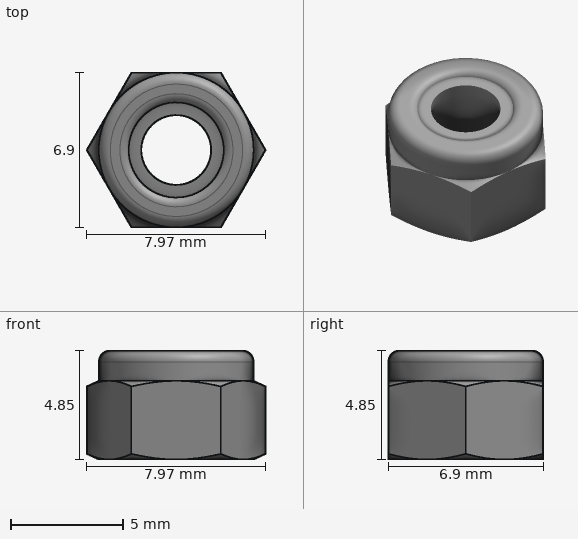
import cadquery as cq
import math

across_flats = 6.9
across_corners = across_flats / math.cos(math.radians(30))
hex_height = 3.5
chamfer_angle = 25.0

total_height = 4.85
collar_radius = across_flats / 2
lip_radius = 0.5
rim_inner_radius = 2.52

insert_recess = 0.2
insert_top = total_height - insert_recess
insert_bottom = 2.65
insert_bore_radius = 1.55
thread_bore_radius = 1.621


def hexagonal_body():
    """Hexagonal prism with its corners chamfered by cones at both ends."""
    prism = cq.Workplane("XY").polygon(6, across_corners).extrude(hex_height)
    corner_radius = across_corners / 2
    corner_drop = (corner_radius - collar_radius) * math.tan(math.radians(chamfer_angle))
    chamfer_envelope = (
        cq.Workplane("XZ")
        .polyline(
            [
                (0, 0),
                (collar_radius, 0),
                (corner_radius, corner_drop),
                (corner_radius, hex_height - corner_drop),
                (collar_radius, hex_height),
                (0, hex_height),
            ]
        )
        .close()
        .revolve(360, (0, 0, 0), (0, 1, 0))
    )
    return prism.intersect(chamfer_envelope)


def collar():
    """Round collar with a rounded rim, dished down to the face of the insert."""
    rim_outer_radius = collar_radius - lip_radius
    lip_center_height = total_height - lip_radius
    outer_diagonal = lip_radius * math.sqrt(0.5)

    sweep = math.acos(1 - insert_recess / lip_radius)
    insert_face_radius = rim_inner_radius - lip_radius * math.sin(sweep)
    inner_middle = (
        rim_inner_radius - lip_radius * math.sin(sweep / 2),
        lip_center_height + lip_radius * math.cos(sweep / 2),
    )
    collar_base = hex_height / 2

    return (
        cq.Workplane("XZ")
        .moveTo(0, collar_base)
        .lineTo(collar_radius, collar_base)
        .lineTo(collar_radius, lip_center_height)
        .threePointArc(
            (rim_outer_radius + outer_diagonal, lip_center_height + outer_diagonal),
            (rim_outer_radius, total_height),
        )
        .lineTo(rim_inner_radius, total_height)
        .threePointArc(inner_middle, (insert_face_radius, insert_top))
        .lineTo(0, insert_top)
        .close()
        .revolve(360, (0, 0, 0), (0, 1, 0))
    )


def bores():
    """Narrow bore through the insert and wider bore through the body below it."""
    insert_bore = cq.Workplane("XY").circle(insert_bore_radius).extrude(total_height)
    thread_bore = cq.Workplane("XY").circle(thread_bore_radius).extrude(insert_bottom)
    return insert_bore.union(thread_bore)


result = hexagonal_body().union(collar()).cut(bores())